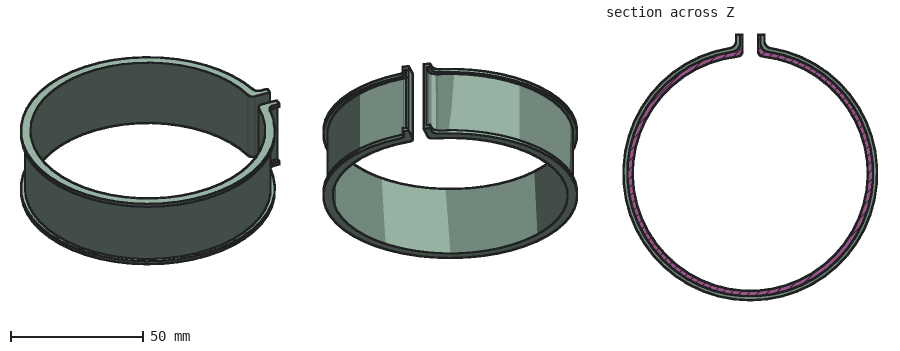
import cadquery as cq
import math

rim_radius = 48.0
bore_radius = 44.4
flange_lip = 1.5
web_radius = rim_radius - flange_lip

height = 28.0
flange_height = 1.4

gap_width = 5.8
tab_thickness = 2.5
overall_length = 100.4
tab_end_y = overall_length - rim_radius
half_gap = gap_width / 2

inner_bend = 2.1
flange_bend = 2.6
web_bend = 3.0


def bend_points(ring_radius, tab_x, bend_radius):
    """Return the ring end, middle and tab end of the arc blending a ring into a vertical tab face."""
    center_x = tab_x + bend_radius
    center_y = math.sqrt((ring_radius + bend_radius) ** 2 - center_x ** 2)
    ring_share = ring_radius / (ring_radius + bend_radius)
    ring_end = (center_x * ring_share, center_y * ring_share)
    tab_end = (tab_x, center_y)
    toward_ring = math.atan2(-center_y, -center_x)
    middle_angle = (toward_ring - math.pi) / 2
    middle = (
        center_x + bend_radius * math.cos(middle_angle),
        center_y + bend_radius * math.sin(middle_angle),
    )
    return ring_end, middle, tab_end


def mirrored(point):
    return (-point[0], point[1])


def split_ring(outer_radius, tab_outer_x, outer_bend, thickness):
    """Extrude the open ring with its two tabs up from Z = 0."""
    out_ring, out_middle, out_tab = bend_points(outer_radius, tab_outer_x, outer_bend)
    in_ring, in_middle, in_tab = bend_points(bore_radius, half_gap, inner_bend)
    return (
        cq.Workplane("XY")
        .moveTo(half_gap, tab_end_y)
        .lineTo(tab_outer_x, tab_end_y)
        .lineTo(*out_tab)
        .threePointArc(out_middle, out_ring)
        .threePointArc((0, -outer_radius), mirrored(out_ring))
        .threePointArc(mirrored(out_middle), mirrored(out_tab))
        .lineTo(-tab_outer_x, tab_end_y)
        .lineTo(-half_gap, tab_end_y)
        .lineTo(*mirrored(in_tab))
        .threePointArc(mirrored(in_middle), mirrored(in_ring))
        .threePointArc((0, -bore_radius), in_ring)
        .threePointArc(in_middle, in_tab)
        .close()
        .extrude(thickness)
    )


flange_tab_x = half_gap + tab_thickness
web_tab_x = flange_tab_x - flange_lip
result = split_ring(web_radius, web_tab_x, web_bend, height)
for flange_z in (0, height - flange_height):
    flange = split_ring(rim_radius, flange_tab_x, flange_bend, flange_height)
    result = result.union(flange.translate((0, 0, flange_z)))